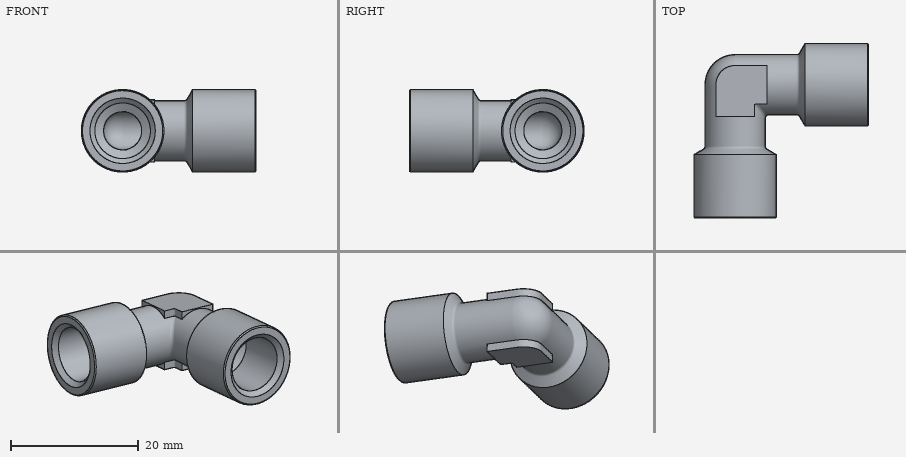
import cadquery as cq
import math

overall_length = 27.5
socket_radius = 13.0 / 2
arm_length = overall_length - socket_radius
tube_radius = 4.75

socket_start = 11.0
shoulder_angle = 60.0
shoulder_length = (socket_radius - tube_radius) / math.tan(math.radians(shoulder_angle))
inner_corner_fillet = 0.5
rim_chamfer = 0.2

bore_radius = 3.0
socket_hole_radius = 4.37
socket_hole_depth = 9.0
drill_tip_angle = 118.0
mouth_radius = 5.15
mouth_depth = mouth_radius - socket_hole_radius

pad_half_width = 3.02
pad_reach = 4.98
pad_outer_height = 4.92
pad_inner_height = math.sqrt(tube_radius**2 - pad_half_width**2)
pad_notch_fillet = 0.3


def revolve_about_x(profile):
    """Turn a closed (axial, radial) profile around the X axis."""
    return profile.close().revolve(360, (0, 0, 0), (1, 0, 0))


def along_minus_y(arm):
    """Return a copy of an X arm pointing along -Y."""
    return arm.rotate((0, 0, 0), (0, 0, 1), -90)


def rounded_elbow(radius, length):
    """Two round rods meeting in a ball at the origin."""
    rod = cq.Workplane("YZ").circle(radius).extrude(length)
    ball = cq.Workplane("XY").sphere(radius)
    return rod.union(along_minus_y(rod)).union(ball)


def socket():
    """Solid socket with its shoulder and the filleted neck on the tube."""
    shoulder_turn = math.radians(shoulder_angle)
    half_turn = shoulder_turn / 2
    tangent_length = inner_corner_fillet * math.tan(half_turn)
    neck = socket_start - shoulder_length
    fillet_start = neck - tangent_length
    fillet_middle = (
        fillet_start + inner_corner_fillet * math.sin(half_turn),
        tube_radius + inner_corner_fillet * (1 - math.cos(half_turn)),
    )
    fillet_end = (
        neck + tangent_length * math.cos(shoulder_turn),
        tube_radius + tangent_length * math.sin(shoulder_turn),
    )
    return revolve_about_x(
        cq.Workplane("XY")
        .moveTo(fillet_start, 0)
        .lineTo(fillet_start, tube_radius)
        .threePointArc(fillet_middle, fillet_end)
        .lineTo(socket_start, socket_radius)
        .lineTo(arm_length - rim_chamfer, socket_radius)
        .lineTo(arm_length, socket_radius - rim_chamfer)
        .lineTo(arm_length, 0)
    )


def socket_hole():
    """Drilled socket hole with a conical floor and a countersunk mouth."""
    floor = arm_length - socket_hole_depth
    tip = floor - socket_hole_radius / math.tan(math.radians(drill_tip_angle / 2))
    return revolve_about_x(
        cq.Workplane("XY")
        .moveTo(tip, 0)
        .lineTo(floor, socket_hole_radius)
        .lineTo(arm_length - mouth_depth, socket_hole_radius)
        .lineTo(arm_length, mouth_radius)
        .lineTo(arm_length, 0)
    )


def pad():
    """Upper L-shaped pad, rounded concentrically with the bend."""
    arc_middle = pad_half_width * math.sqrt(0.5)
    pad_mid_height = (pad_inner_height + pad_outer_height) / 2
    notch_corner = (pad_half_width, -pad_half_width, pad_mid_height)
    return (
        cq.Workplane("XY", origin=(0, 0, pad_inner_height))
        .moveTo(-pad_half_width, 0)
        .threePointArc((-arc_middle, arc_middle), (0, pad_half_width))
        .lineTo(pad_reach, pad_half_width)
        .lineTo(pad_reach, -pad_half_width)
        .lineTo(pad_half_width, -pad_half_width)
        .lineTo(pad_half_width, -pad_reach)
        .lineTo(-pad_half_width, -pad_reach)
        .close()
        .extrude(pad_outer_height - pad_inner_height)
        .edges(cq.NearestToPointSelector(notch_corner))
        .fillet(pad_notch_fillet)
    )


def elbow_tube():
    """Outer tube with the seam inside the bend filleted between the two pads."""
    tube = rounded_elbow(tube_radius, socket_start)
    slab_size = 2 * socket_start
    slab = cq.Workplane("XY").box(slab_size, slab_size, 2 * pad_inner_height)
    filleted_middle = (
        tube.intersect(slab)
        .edges(cq.selectors.BoxSelector(
            (0, 0, -pad_inner_height),
            (pad_reach, -pad_reach, pad_inner_height),
        ))
        .fillet(inner_corner_fillet)
    )
    return tube.union(filleted_middle)


upper_pad = pad()
x_socket = socket()
x_hole = socket_hole()

body = elbow_tube().union(x_socket).union(along_minus_y(x_socket))
body = body.union(upper_pad).union(upper_pad.mirror("XY"))
result = (
    body.cut(rounded_elbow(bore_radius, arm_length))
    .cut(x_hole)
    .cut(along_minus_y(x_hole))
)